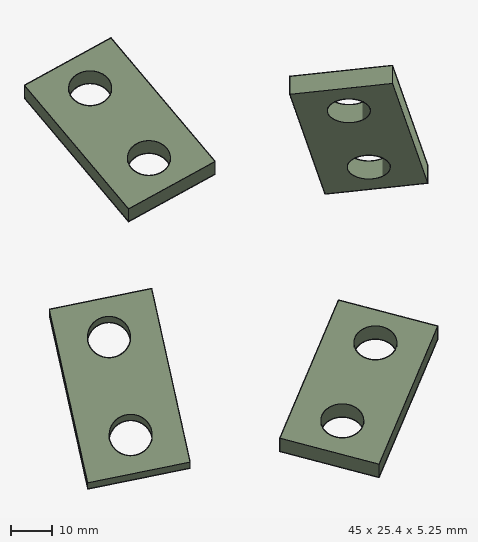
import cadquery as cq

length = 44.95
width = 25.4
thickness = 5.25

hole_diameter = 10.45
hole_spacing = 25.35
left_hole_from_end = 9.7

left_hole_x = -length / 2 + left_hole_from_end
hole_centers = [(left_hole_x, 0), (left_hole_x + hole_spacing, 0)]

plate = cq.Workplane("XY").box(length, width, thickness, centered=(True, True, False))

result = (
    plate.faces(">Z")
    .workplane()
    .pushPoints(hole_centers)
    .hole(hole_diameter)
)